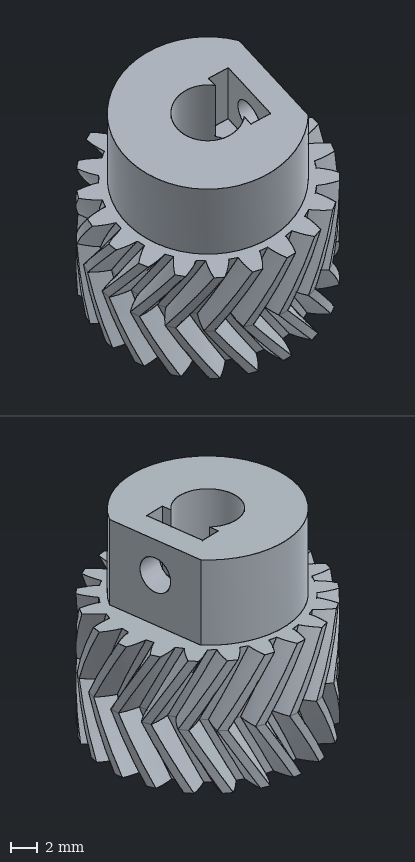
import cadquery as cq
import math

tooth_count = 21
tip_radius = 9.84
root_radius = 8.15
lower_band = 5.5
upper_band = 6.06
twist_rate = 3.557
root_gap_angle = 2.4
middle_gap_angle = 4.1
tip_gap_angle = 6.2

gear_height = lower_band + upper_band
total_height = 19.0
hub_radius = 7.5
flat_distance = 6.02

bore_diameter = 5.5
slot_width = bore_diameter
slot_near = 2.0
slot_far = 3.8
screw_diameter = 3.0
screw_height = 15.9
slot_floor = screw_height - slot_width / 2

pitch_angle = 360 / tooth_count
lower_twist = twist_rate * lower_band
upper_twist = twist_rate * upper_band
top_angle = 90.0
middle_angle = top_angle - upper_twist
bottom_angle = middle_angle + lower_twist


def polar(radius, degrees):
    angle = math.radians(degrees)
    return (radius * math.cos(angle), radius * math.sin(angle))


def gear_outline(base_z, tooth_angle):
    """Toothed outline with the middle of one tooth at tooth_angle."""
    middle_radius = (tip_radius + root_radius) / 2
    first_gap = tooth_angle + pitch_angle / 2
    outline = cq.Workplane("XY").workplane(offset=base_z)
    outline = outline.moveTo(*polar(tip_radius, first_gap - tip_gap_angle))
    for index in range(tooth_count):
        gap = first_gap + index * pitch_angle
        root_start = polar(root_radius, gap - root_gap_angle)
        root_end = polar(root_radius, gap + root_gap_angle)
        tooth_start = polar(tip_radius, gap + tip_gap_angle)
        tooth_end = polar(tip_radius, gap + pitch_angle - tip_gap_angle)
        outline = outline.threePointArc(polar(middle_radius, gap - middle_gap_angle), root_start)
        outline = outline.threePointArc(polar(root_radius, gap), root_end)
        outline = outline.threePointArc(polar(middle_radius, gap + middle_gap_angle), tooth_start)
        outline = outline.threePointArc(polar(tip_radius, gap + pitch_angle / 2), tooth_end)
    return outline.close()


def herringbone_gear():
    """Two bands of teeth that lean opposite ways and meet edge to edge."""
    lower = gear_outline(0, bottom_angle).twistExtrude(lower_band, -lower_twist)
    upper = gear_outline(lower_band, middle_angle).twistExtrude(upper_band, upper_twist)
    return lower.union(upper)


def hub():
    """Round hub with one flat facing +Y."""
    hub_height = total_height - gear_height
    cylinder = cq.Workplane("XY").workplane(offset=gear_height).circle(hub_radius).extrude(hub_height)
    beyond_flat = (
        cq.Workplane("XY")
        .workplane(offset=gear_height)
        .center(0, flat_distance + hub_radius / 2)
        .rect(2 * hub_radius, hub_radius)
        .extrude(hub_height)
    )
    return cylinder.cut(beyond_flat)


def bore():
    return cq.Workplane("XY").circle(bore_diameter / 2).extrude(total_height)


def nut_slot():
    """Pocket open at the top of the hub and into the bore."""
    return (
        cq.Workplane("XY")
        .workplane(offset=slot_floor)
        .center(0, (slot_near + slot_far) / 2)
        .rect(slot_width, slot_far - slot_near)
        .extrude(total_height - slot_floor)
    )


def screw_hole():
    """Radial hole from the bore, through the nut slot, out of the flat."""
    return (
        cq.Workplane("XZ")
        .center(0, screw_height)
        .circle(screw_diameter / 2)
        .extrude(-flat_distance)
    )


result = herringbone_gear().union(hub()).cut(bore()).cut(nut_slot()).cut(screw_hole())